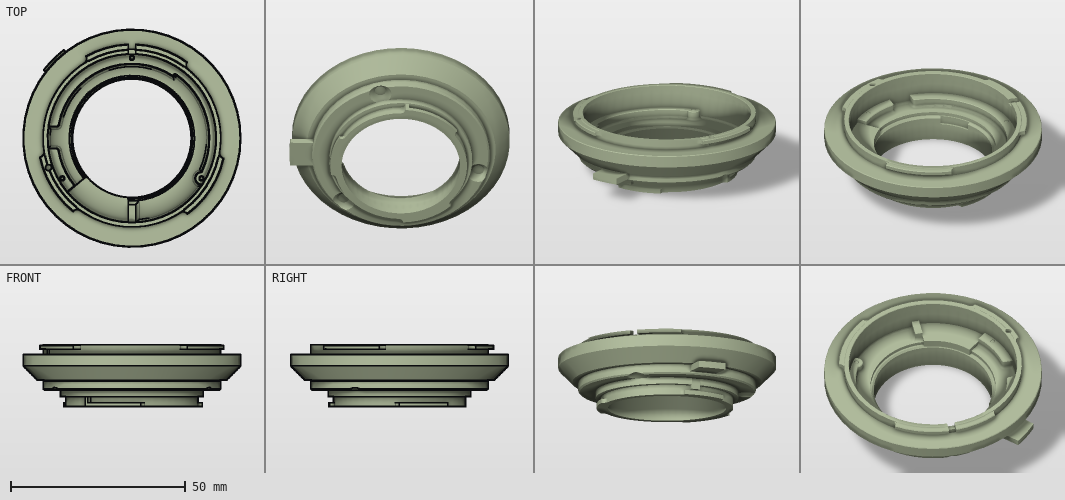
import cadquery as cq
import math

total_height = 17.8
step_bottom = 2.9
disc_bottom = 4.75
joint_height = 7.6
pocket_floor = 8.6
ledge_height = 11.2
cone_top = 11.7
flange_top = 15.05

flange_radius = 31.25
flange_chamfer = 0.2
cone_height = cone_top - joint_height
cone_radius = flange_radius - cone_height
barrel_radius = 51.0 / 2
barrel_bore_radius = 48.25 / 2
rim_chamfer = 0.1
housing_hole_radius = 18.0

front_lug_radius = 27.0
front_lug_bottom = 16.5
front_lug_top = 17.6
front_lug_chamfer = 0.2
front_lug_spans = [(54.0, 119.3), (191.7, 231.3), (306.2, 347.6)]
notch_width = 2.1

lock_hole_diameter = 1.75
lock_hole_place = 25.4
lock_hole_angle = 199.4

pocket_radius = 21.25
wide_pocket_radius = 22.1
wide_pocket_end = 56.0
pocket_fillet = 0.7
pocket_edge_chamfer = 0.2
side_slot_width = 6.1
side_slot_offset = 0.2
side_slot_corner = 0.75
rib_width = 2.1
rib_inner_end = 19.05
rib_fillet = 1.0

disc_radius = barrel_radius
disc_top_chamfer = 0.25
disc_bottom_chamfer = 0.45
shoulder_radius = 20.5
spigot_radius = 19.0
bore_radius = 34.0 / 2
bore_chamfer = 0.5
relief_radius = 17.6
relief_bottom = 5.25
relief_span = (120.0, 149.0)
rear_lug_radius = 20.25
rear_lug_height = 1.2
stop_span = (228.5, 231.4)
stop_run_in = 10.0
rear_lug_spans = [(0.0, 43.0), (125.6, 164.2), (stop_span[0], 277.3)]

lever_angle = 135.0
tab_width = 8.2
tab_radius = 32.0
tab_inner_end = 22.5
tab_bottom = 5.55
tab_top = joint_height - disc_top_chamfer
key_width = 2.55
key_inner_end = 18.1
key_outer_end = 20.1
key_bottom = 1.72

block_start_angle = 220.0
block_top = 9.9

screw_circle = 23.05
screw_angles = [90.0, 210.0, 330.0]
screw_diameter = 1.4
screw_head_diameter = 3.2
screw_tip_chamfer = 0.2
boss_diameter = 3.75
countersink_radius = 3.2


def polar(radius, degrees):
    """Point at a radius and an angle around the main axis."""
    angle = math.radians(degrees)
    return radius * math.cos(angle), radius * math.sin(angle)


def turned(body, degrees):
    """Body turned around the main axis."""
    return body.rotate((0, 0, 0), (0, 0, 1), degrees)


def cylinder(radius, bottom, top, center=(0, 0)):
    """Upright cylinder between two heights."""
    return cq.Workplane("XY", origin=(*center, bottom)).circle(radius).extrude(top - bottom)


def ring_sector(inner, outer, start, end, bottom, top):
    """Part of a ring between two angles and two heights."""
    middle = (start + end) / 2
    return (
        cq.Workplane("XY", origin=(0, 0, bottom))
        .moveTo(*polar(inner, start))
        .lineTo(*polar(outer, start))
        .threePointArc(polar(outer, middle), polar(outer, end))
        .lineTo(*polar(inner, end))
        .threePointArc(polar(inner, middle), polar(inner, start))
        .close()
        .extrude(top - bottom)
    )


def block_between(x_range, y_range, z_range):
    """Box between two X, two Y and two Z values."""
    sizes = [high - low for low, high in (x_range, y_range, z_range)]
    return cq.Workplane("XY").box(*sizes, centered=False).translate(
        (x_range[0], y_range[0], z_range[0])
    )


def bayonet_lug(inner, base, outer, start, end, bottom, top):
    """Lug whose ends sweep down to the base radius in concave quarter rounds."""
    round_radius = outer - base
    sweep = math.degrees(math.asin(round_radius / outer))
    lug = ring_sector(inner, outer, start - sweep, end + sweep, bottom, top)
    for angle in (start - sweep, end + sweep):
        lug = lug.cut(cylinder(round_radius, bottom, top, polar(outer, angle)))
    return lug


def contact_sector(inner, outer, bottom, top):
    """Sector from the block's start angle to the flat side of the radial rib."""
    side = -rib_width / 2
    end_angle = 270 - math.degrees(math.asin(rib_width / 2 / outer))
    middle = (block_start_angle + end_angle) / 2
    return (
        cq.Workplane("XY", origin=(0, 0, bottom))
        .moveTo(*polar(inner, block_start_angle))
        .lineTo(*polar(outer, block_start_angle))
        .threePointArc(polar(outer, middle), polar(outer, end_angle))
        .lineTo(side, -math.sqrt(inner**2 - side**2))
        .threePointArc(polar(inner, middle), polar(inner, block_start_angle))
        .close()
        .extrude(top - bottom)
    )


def make_lever():
    """Finger tab outside, stem through the disc, key down into the bayonet."""
    tab = block_between(
        (tab_inner_end, tab_radius), (-tab_width / 2, tab_width / 2), (tab_bottom, tab_top)
    ).intersect(cylinder(tab_radius, tab_bottom, tab_top))
    half_key = key_width / 2
    stem = block_between((key_inner_end, tab_inner_end), (-half_key, half_key), (tab_bottom, tab_top))
    key = block_between((key_inner_end, key_outer_end), (-half_key, half_key), (key_bottom, tab_top))
    return turned(tab.union(stem).union(key), lever_angle)


def make_screw(angle):
    """Countersunk screw whose tip ends flush with the ledge."""
    shank_radius = screw_diameter / 2
    head_radius = screw_head_diameter / 2
    cone_tip = disc_bottom + countersink_radius - shank_radius
    head_face = cone_tip - (head_radius - shank_radius)
    return (
        cq.Workplane("XZ")
        .moveTo(0, head_face)
        .lineTo(head_radius, head_face)
        .lineTo(shank_radius, cone_tip)
        .lineTo(shank_radius, ledge_height - screw_tip_chamfer)
        .lineTo(shank_radius - screw_tip_chamfer, ledge_height)
        .lineTo(0, ledge_height)
        .close()
        .revolve()
        .translate((*polar(screw_circle, angle), 0))
    )


def pocket_plan():
    """Straight-walled pocket, without the floor fillet and the edge bevel."""
    def sector(outer, start, end):
        return ring_sector(bore_radius, outer, start, end, pocket_floor, ledge_height)

    boss_angle = screw_angles[-1] - 360
    plan = cylinder(pocket_radius, pocket_floor, ledge_height)
    plan = plan.union(sector(wide_pocket_radius, boss_angle, wide_pocket_end))
    plan = plan.union(sector(barrel_bore_radius, -90, boss_angle))
    slot_side = side_slot_width / 2
    slot = block_between(
        (-barrel_bore_radius, 0),
        (side_slot_offset - slot_side, side_slot_offset + slot_side),
        (pocket_floor, ledge_height),
    ).intersect(cylinder(barrel_bore_radius, pocket_floor, ledge_height))
    plan = plan.union(slot)
    boss = cylinder(boss_diameter / 2, pocket_floor, ledge_height, polar(screw_circle, boss_angle))
    plan = plan.cut(boss)
    middle_height = (pocket_floor + ledge_height) / 2
    for y in (side_slot_offset - slot_side, side_slot_offset + slot_side):
        corner = (-math.sqrt(pocket_radius**2 - y**2), y, middle_height)
        plan = plan.edges(cq.selectors.NearestToPointSelector(corner)).fillet(side_slot_corner)
    return plan


def rib_profile(plane, far_side, near_side, start, length):
    """Extruded rib outline: upright on one side, rounded into the floor on the other."""
    foot = near_side + rib_fillet
    bend = rib_fillet * (1 - math.sqrt(0.5))
    return (
        cq.Workplane(plane)
        .moveTo(far_side, joint_height)
        .lineTo(foot, joint_height)
        .lineTo(foot, pocket_floor)
        .threePointArc((near_side + bend, pocket_floor + bend), (near_side, pocket_floor + rib_fillet))
        .lineTo(near_side, ledge_height)
        .lineTo(far_side, ledge_height)
        .close()
        .extrude(length)
        .translate(start)
    )


def make_rib():
    """Radial rib next to the contact block, rounded into the floor on two sides."""
    half_width = rib_width / 2
    across = rib_profile("XZ", -half_width, half_width, (0, 0, 0), barrel_radius)
    along = rib_profile(
        "YZ", -barrel_bore_radius, -rib_inner_end, (-half_width, 0, 0), 2 * rib_width
    )
    return across.intersect(along)


def rim_bevel(start, end):
    """Bevel that leads from the rim down to the top of a front lug."""
    drop = total_height - front_lug_top
    bevel = (
        cq.Workplane("XZ")
        .moveTo(barrel_radius - drop, total_height)
        .lineTo(barrel_radius, total_height)
        .lineTo(barrel_radius, front_lug_top)
        .close()
        .revolve(end - start, (0, 0), (0, 1))
    )
    return turned(bevel, start)


def ledge_end_bevel():
    """Bevel on the radial end of the ledge, above the contact block."""
    bevel = (
        cq.Workplane("YZ", origin=(pocket_radius, 0, 0))
        .moveTo(0, ledge_height)
        .lineTo(-pocket_edge_chamfer, ledge_height)
        .lineTo(0, ledge_height - pocket_edge_chamfer)
        .close()
        .extrude(barrel_bore_radius - pocket_radius)
    )
    return turned(bevel, block_start_angle)


def make_housing():
    """Flanged ring with the front bayonet and the stepped inside."""
    housing = (
        cq.Workplane("XZ")
        .moveTo(housing_hole_radius, joint_height)
        .lineTo(cone_radius, joint_height)
        .lineTo(flange_radius, cone_top)
        .lineTo(flange_radius, flange_top - flange_chamfer)
        .lineTo(flange_radius - flange_chamfer, flange_top)
        .lineTo(barrel_radius, flange_top)
        .lineTo(barrel_radius, total_height)
        .lineTo(barrel_bore_radius + rim_chamfer, total_height)
        .lineTo(barrel_bore_radius, total_height - rim_chamfer)
        .lineTo(barrel_bore_radius, ledge_height)
        .lineTo(housing_hole_radius, ledge_height)
        .close()
        .revolve()
    )
    lug_root = (barrel_bore_radius + barrel_radius) / 2
    for start, end in front_lug_spans:
        lug = bayonet_lug(
            lug_root, barrel_radius, front_lug_radius,
            start, end, front_lug_bottom, front_lug_top,
        )
        chamfered = cylinder(front_lug_radius, front_lug_bottom, front_lug_top)
        chamfered = chamfered.faces(">Z").chamfer(front_lug_chamfer)
        housing = housing.cut(rim_bevel(start, end)).union(lug.intersect(chamfered))

    notch = block_between(
        (-notch_width / 2, notch_width / 2),
        (pocket_radius, flange_radius),
        (front_lug_bottom, total_height),
    )
    lock_hole = cylinder(
        lock_hole_diameter / 2, flange_top, total_height, polar(lock_hole_place, lock_hole_angle)
    )
    plan = pocket_plan()
    pocket = plan.faces("<Z").edges().fillet(pocket_fillet)
    edge_bevel = (
        plan.faces(">Z").wires().toPending()
        .extrude(pocket_edge_chamfer, combine=False, taper=-45)
        .translate((0, 0, -pocket_edge_chamfer))
    ).union(ledge_end_bevel())
    edge_bevel = edge_bevel.intersect(cylinder(barrel_bore_radius, pocket_floor, ledge_height))
    window = contact_sector(bore_radius, barrel_bore_radius, joint_height, ledge_height)
    hollow = pocket.union(edge_bevel).union(window)
    housing = housing.cut(notch).cut(lock_hole).cut(hollow).union(make_rib())
    for angle in screw_angles:
        place = polar(screw_circle, angle)
        housing = housing.cut(cylinder(screw_diameter / 2, joint_height, ledge_height, place))
    return housing


def make_rear_mount(lever):
    """Disc, shoulder and spigot with the rear bayonet lugs."""
    mount = (
        cq.Workplane("XZ")
        .moveTo(bore_radius, 0)
        .lineTo(spigot_radius, 0)
        .lineTo(spigot_radius, step_bottom)
        .lineTo(shoulder_radius, step_bottom)
        .lineTo(shoulder_radius, disc_bottom)
        .lineTo(disc_radius - disc_bottom_chamfer, disc_bottom)
        .lineTo(disc_radius, disc_bottom + disc_bottom_chamfer)
        .lineTo(disc_radius, joint_height - disc_top_chamfer)
        .lineTo(disc_radius - disc_top_chamfer, joint_height)
        .lineTo(bore_radius + bore_chamfer, joint_height)
        .lineTo(bore_radius, joint_height - bore_chamfer)
        .close()
        .revolve()
    )
    lug_root = (bore_radius + spigot_radius) / 2
    for start, end in rear_lug_spans:
        lug = bayonet_lug(lug_root, spigot_radius, rear_lug_radius, start, end, 0, rear_lug_height)
        mount = mount.union(lug)

    stop_start, stop_end = stop_span
    stop = bayonet_lug(
        lug_root, spigot_radius, rear_lug_radius, stop_start, stop_end, 0, step_bottom
    ).intersect(ring_sector(lug_root, flange_radius, stop_start - stop_run_in, stop_end, 0, step_bottom))
    mount = mount.union(stop)

    relief = ring_sector(
        bore_radius - bore_chamfer, relief_radius, *relief_span, relief_bottom, joint_height
    )
    key_slot = block_between(
        (key_inner_end, disc_radius), (-key_width / 2, key_width / 2), (key_bottom, disc_bottom)
    )
    key_slot = turned(key_slot, lever_angle)
    mount = mount.cut(relief).cut(key_slot).cut(lever)

    shank_radius = screw_diameter / 2
    for angle in screw_angles:
        place = polar(screw_circle, angle)
        countersink = cq.Workplane(
            cq.Solid.makeCone(
                countersink_radius, shank_radius, countersink_radius - shank_radius,
                cq.Vector(*place, disc_bottom), cq.Vector(0, 0, 1),
            )
        )
        mount = mount.cut(countersink).cut(cylinder(shank_radius, disc_bottom, joint_height, place))
    return mount


lock_lever = make_lever()
housing = make_housing()
rear_mount = make_rear_mount(lock_lever)
contact_block = contact_sector(bore_radius, barrel_bore_radius, joint_height, block_top)
screws = [make_screw(angle) for angle in screw_angles]

result = cq.Compound.makeCompound(
    [housing.val(), rear_mount.val(), lock_lever.val(), contact_block.val()]
    + [screw.val() for screw in screws]
)